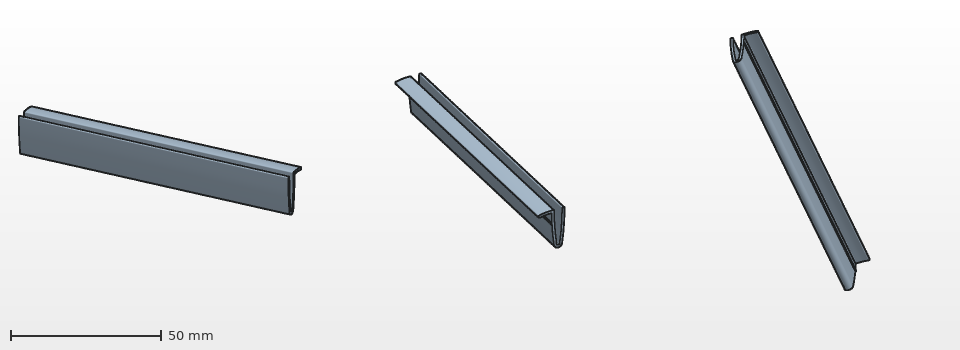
import cadquery as cq
import math

length = 100.0
height = 15.0
depth = 10.0
wall = 1.0
clip_width = 5.0
arm_radius = 99.0
lip_flat_end = 5.2
lip_radius = 17.0
edge_round = 0.4
lip_corner_round = 0.4
bead_radius = 0.3
bead_drop = 5.2

mid_y = clip_width / 2
center_offset = arm_radius - mid_y


bend_radius = (arm_radius ** 2 - center_offset ** 2 - height ** 2) / (2 * (arm_radius - height))
bend_drop = height - bend_radius
bend_angle = math.atan2(bend_drop, center_offset)


def arm_point(offset, angle):
    """Point on the front arm, offset inward from its outer face."""
    radius = arm_radius - offset
    return (arm_radius - radius * math.cos(angle), -radius * math.sin(angle))


def mirrored(point):
    """Matching point on the rear arm."""
    return (clip_width - point[0], point[1])


def extrude_profile(profile):
    return profile.extrude(length)


def make_clip():
    """Two bowed arms joined by a round bend, open at the top."""
    outer_mid, outer_end = (arm_point(0, bend_angle * f) for f in (0.5, 1))
    inner_top, inner_mid, inner_end = (arm_point(wall, bend_angle * f) for f in (0, 0.5, 1))
    profile = (
        cq.Workplane("YZ")
        .moveTo(0, 0)
        .threePointArc(outer_mid, outer_end)
        .threePointArc((mid_y, -height), mirrored(outer_end))
        .threePointArc(mirrored(outer_mid), (clip_width, 0))
        .lineTo(*mirrored(inner_top))
        .threePointArc(mirrored(inner_mid), mirrored(inner_end))
        .threePointArc((mid_y, wall - height), inner_end)
        .threePointArc(inner_mid, inner_top)
        .close()
    )
    return extrude_profile(profile)


def make_lip():
    """Rear lip that starts flat and droops toward its tip."""
    round_path = lip_radius - edge_round
    tip_reach = depth - lip_flat_end - edge_round
    tip_angle = math.asin(tip_reach / round_path) + math.asin(edge_round / round_path)

    def lip_point(offset, angle):
        radius = lip_radius - offset
        return (lip_flat_end + radius * math.sin(angle), radius * math.cos(angle) - lip_radius)

    profile = (
        cq.Workplane("YZ")
        .moveTo(clip_width - wall, 0)
        .lineTo(lip_flat_end, 0)
        .threePointArc(lip_point(0, tip_angle / 2), lip_point(0, tip_angle))
        .lineTo(*lip_point(wall, tip_angle))
        .threePointArc(lip_point(wall, tip_angle / 2), lip_point(wall, 0))
        .lineTo(clip_width - wall, -wall)
        .close()
    )
    lip = extrude_profile(profile)
    return lip.edges("|X").edges(">Y or <Z").fillet(edge_round)


def make_corner_round():
    """Concave fillet between the lip underside and the rear arm."""
    center = (clip_width + lip_corner_round, -wall - lip_corner_round)
    block = (
        cq.Workplane("YZ")
        .moveTo(clip_width - wall / 2, -wall / 2)
        .lineTo(center[0], -wall / 2)
        .lineTo(*center)
        .lineTo(clip_width - wall / 2, center[1])
        .close()
    )
    cutter = cq.Workplane("YZ").center(*center).circle(lip_corner_round)
    return extrude_profile(block).cut(extrude_profile(cutter))


def make_bead():
    """Small round bead along the back of the rear arm."""
    bead_angle = math.asin(bead_drop / arm_radius)
    bead_center = mirrored(arm_point(0, bead_angle))
    return extrude_profile(cq.Workplane("YZ").center(*bead_center).circle(bead_radius))


def round_top_edges(body):
    """Round both edges of the front arm top and the slot-side edge of the rear arm."""
    top_edge_ys = (0, wall, clip_width - wall)
    for y in top_edge_ys:
        body = body.edges(cq.selectors.NearestToPointSelector((length / 2, y, 0))).fillet(edge_round)
    return body


body = make_clip().union(make_lip()).union(make_corner_round()).union(make_bead())
result = round_top_edges(body)